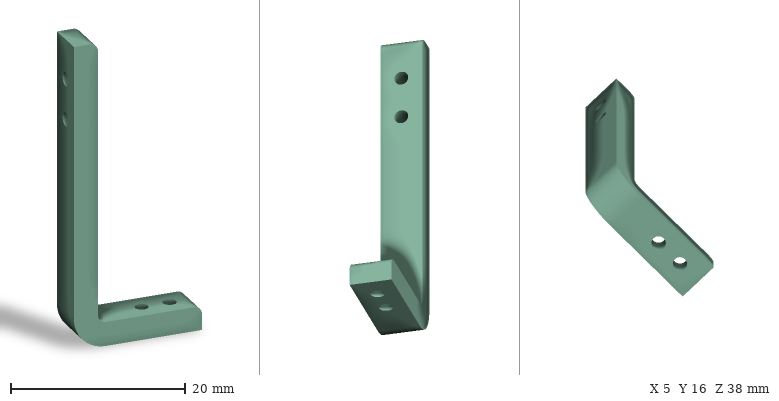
import cadquery as cq

width = 5.0
depth = 16.0
height = 38.0
thickness = 3.0
inner_bend_radius = 1.0
tip_radius = 1.0
hole_diameter = 1.65

top_hole_inset = 5.0
upright_hole_pitch = 5.0
foot_hole_inset = 3.0
foot_hole_pitch = 3.5

outer_bend_radius = inner_bend_radius + thickness
upright_hole_heights = [height - top_hole_inset - i * upright_hole_pitch for i in range(2)]
foot_hole_positions = [depth - foot_hole_inset - i * foot_hole_pitch for i in range(2)]


def bent_bar():
    """L-shaped bar: upright at Y = 0, foot at Z = 0, centred on X = 0."""
    profile = (
        cq.Workplane("YZ")
        .workplane(offset=-width / 2)
        .moveTo(outer_bend_radius, 0)
        .lineTo(depth, 0)
        .lineTo(depth, thickness - tip_radius)
        .radiusArc((depth - tip_radius, thickness), -tip_radius)
        .lineTo(outer_bend_radius, thickness)
        .radiusArc((thickness, outer_bend_radius), inner_bend_radius)
        .lineTo(thickness, height - tip_radius)
        .radiusArc((thickness - tip_radius, height), -tip_radius)
        .lineTo(0, height)
        .lineTo(0, outer_bend_radius)
        .radiusArc((outer_bend_radius, 0), -outer_bend_radius)
        .close()
    )
    return profile.extrude(width)


def upright_holes():
    """Cylinders along Y for the through holes in the upright."""
    centres = [(0, z) for z in upright_hole_heights]
    return cq.Workplane("XZ").pushPoints(centres).circle(hole_diameter / 2).extrude(-thickness)


def foot_holes():
    """Cylinders along Z for the through holes in the foot."""
    centres = [(0, y) for y in foot_hole_positions]
    return cq.Workplane("XY").pushPoints(centres).circle(hole_diameter / 2).extrude(thickness)


result = bent_bar().cut(upright_holes()).cut(foot_holes())